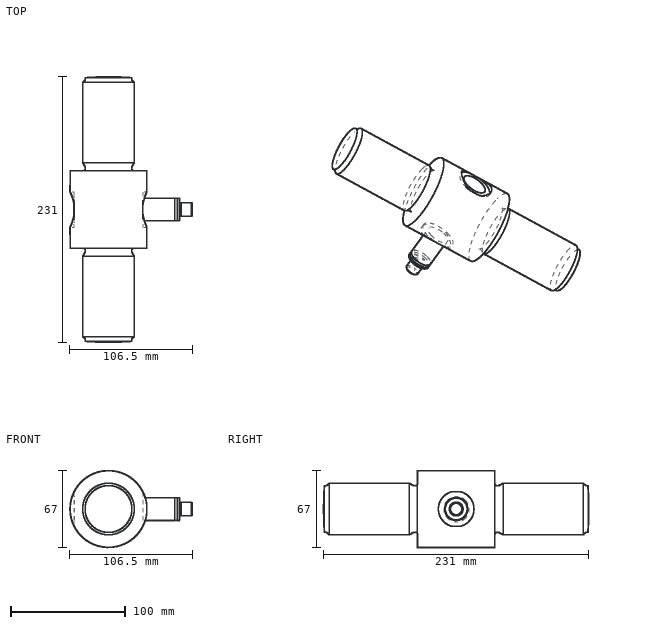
import cadquery as cq
import math

body_diameter = 67.0
body_length = 67.5
spot_face_diameter = 31.0
width_across_spot_faces = 60.0
plug_diameter = 22.0
plug_recess = 0.1

overall_length = 231.0
journal_diameter = 45.0
neck_diameter = 40.8
neck_length = 7.0
neck_taper_angle = 30.0
neck_body_fillet = 1.4
neck_taper_fillet = 2.5
nose_diameter = 40.8
nose_length = 5.0
nose_dome_height = 0.8
nose_fillet = 0.8

outlet_diameter = 20.0
outlet_end_x = 62.0
outlet_chamfer = 0.5
outlet_groove_x = 57.5
outlet_groove_width = 2.2
outlet_groove_depth = 0.1
connector_diameter = 12.0
connector_end_x = 73.0
connector_chamfer = 1.0
connector_relief_width = 1.5
connector_relief_depth = 0.25
groove_overcut = 1.0

selection_tolerance = 0.01

body_radius = body_diameter / 2
body_end_y = body_length / 2
journal_radius = journal_diameter / 2
spot_face_x = width_across_spot_faces / 2


def make_body():
    return cq.Workplane("XZ").circle(body_radius).extrude(body_end_y, both=True)


def fillet_circle(part, radius, y, fillet_radius):
    """Round the circular edge about the Y axis that passes through (radius, y)."""
    nearby = part.edges("%CIRCLE").filter(lambda edge: abs(edge.Center().y - y) < selection_tolerance)
    edge = nearby.filter(lambda edge: abs(edge.radius() - radius) < selection_tolerance)
    return edge.fillet(fillet_radius)


def make_journal():
    """Journal on the +Y side, turned about the Y axis."""
    neck_radius = neck_diameter / 2
    nose_radius = nose_diameter / 2
    tip_y = overall_length / 2
    journal_start_y = body_end_y + neck_length
    journal_end_y = tip_y - nose_length
    taper_length = (journal_radius - neck_radius) / math.tan(math.radians(neck_taper_angle))
    nose_chamfer = journal_radius - nose_radius
    dome_sphere_radius = (nose_radius**2 + nose_dome_height**2) / (2 * nose_dome_height)
    dome_mid_radius = nose_radius / 2
    dome_mid_drop = dome_sphere_radius - math.sqrt(dome_sphere_radius**2 - dome_mid_radius**2)
    profile = (
        cq.Workplane("XY")
        .moveTo(0, 0)
        .lineTo(neck_radius, 0)
        .lineTo(neck_radius, journal_start_y - taper_length)
        .lineTo(journal_radius, journal_start_y)
        .lineTo(journal_radius, journal_end_y)
        .lineTo(nose_radius, journal_end_y + nose_chamfer)
        .lineTo(nose_radius, tip_y - nose_dome_height)
        .threePointArc((dome_mid_radius, tip_y - dome_mid_drop), (0, tip_y))
        .close()
    )
    journal = profile.revolve(360, (0, 0, 0), (0, 1, 0))

    journal = fillet_circle(journal, neck_radius, journal_start_y - taper_length, neck_taper_fillet)
    return fillet_circle(journal, nose_radius, journal_end_y + nose_chamfer, nose_fillet)


def make_spot_face_cutter():
    """Cylinder that clears the material in front of the +X spot face."""
    cutter = cq.Workplane("YZ").workplane(offset=spot_face_x)
    return cutter.circle(spot_face_diameter / 2).extrude(body_radius)


def make_plug_recess_cutter():
    """Shallow round recess left by the plug in the -X spot face."""
    recess = cq.Workplane("YZ").workplane(offset=-spot_face_x)
    return recess.circle(plug_diameter / 2).extrude(plug_recess)


def cut_groove(rod, rod_diameter, depth, start_x, width):
    """Cut a ring groove of the given depth into a rod about the X axis."""
    rod_radius = rod_diameter / 2
    ring = cq.Workplane("YZ").workplane(offset=start_x)
    ring = ring.circle(rod_radius + groove_overcut).circle(rod_radius - depth).extrude(width)
    return rod.cut(ring)


def make_rod(diameter, end_x, end_chamfer):
    """Round rod along X from the part's centre, chamfered at its free end."""
    rod = cq.Workplane("YZ").circle(diameter / 2).extrude(end_x)
    return rod.faces(">X").chamfer(end_chamfer)


def make_outlet():
    tube = make_rod(outlet_diameter, outlet_end_x, outlet_chamfer)
    tube = cut_groove(tube, outlet_diameter, outlet_groove_depth, outlet_groove_x, outlet_groove_width)
    connector = make_rod(connector_diameter, connector_end_x, connector_chamfer)
    connector = cut_groove(
        connector, connector_diameter, connector_relief_depth, outlet_end_x, connector_relief_width
    )
    return tube.union(connector)


journal = make_journal()
part = make_body().union(journal).union(journal.mirror("XZ"))
for face_y in (body_end_y, -body_end_y):
    part = fillet_circle(part, neck_diameter / 2, face_y, neck_body_fillet)
spot_face_cutter = make_spot_face_cutter()
part = part.cut(spot_face_cutter).cut(spot_face_cutter.mirror("YZ"))
part = part.cut(make_plug_recess_cutter())
result = part.union(make_outlet())